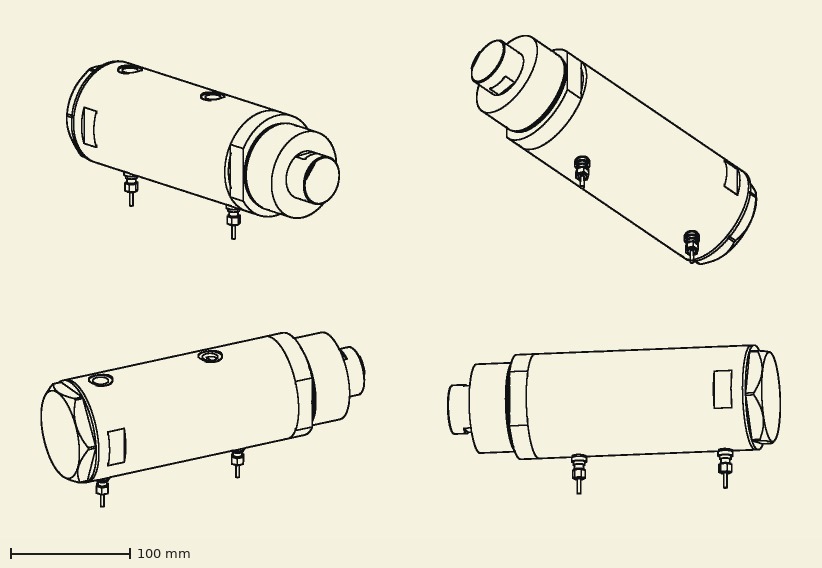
import cadquery as cq
import math


hex_end = 12.5
barrel_start = 15.0
spigot_end = 41.0
plug_start = 139.5
barrel_end = 201.0
flange_end = 216.8
sleeve_start = 219.3
sleeve_end = 251.5
rod_neck_end = 262.0
rod_end = 273.6
overall_length = 274.5
overall_height = 120.2

body_radius = 88.0 / 2
sleeve_radius = 75.0 / 2
bore_radius = 33.0
plug_radius = 39.8
rod_radius = 20.5

hex_flat_distance = 38.0
hex_corner_radius = 86.5 / 2
hex_face_radius = 37.5
hex_chamfer = hex_corner_radius - hex_face_radius
hex_tilt = 7.0

pocket_start = 25.0
pocket_end = 40.0
pocket_floor = 41.0
pocket_height = 31.8
port_positions = [37.5, plug_start]
port_radius = 6.5
spotface_radius = 10.2
spotface_floor = 42.5

neck_radius = 36.5
groove_floor_radius = 34.9
groove_start = 217.7
groove_end = 218.5
sleeve_chamfer = 0.8

rod_flat_distance = 18.0
rod_chamfer = 0.8
pad_chord_distance = 18.0
pad_angle = 140.0

sensor_positions = [39.2, 165.0]
sensor_seat = -42.5
sensor_head_bottom = -45.3
collar_bottom = -48.9
step_bottom = -51.5
waist_bottom = -55.5
nut_top = -56.3
nut_bottom = -62.9
gland_bottom = -63.7
cable_bottom = body_radius - overall_height
sensor_head_radius = 11.3 / 2
collar_radius = 6.3
step_radius = 9.5 / 2
waist_radius = 3.8
nut_face_radius = 4.5
gland_radius = 3.5
cable_radius = 1.5
nut_across_flats = 9.5


def disc(start, end, radius):
    """Cylinder about the X axis from start to end."""
    return cq.Workplane("YZ", origin=(start, 0, 0)).circle(radius).extrude(end - start)


def upright(bottom, top, radius, x):
    """Cylinder parallel to Z, centred at the given x."""
    return cq.Workplane("XY", origin=(x, 0, bottom)).circle(radius).extrude(top - bottom)


def side_cuts(start, end, floor, height):
    """Blocks that cut a flat on the -Y and +Y sides, outwards from the floor distance."""
    depth = body_radius
    block = cq.Workplane("XY").box(end - start, depth, height)
    middle = (start + end) / 2
    near = block.translate((middle, -floor - depth / 2, 0))
    far = block.translate((middle, floor + depth / 2, 0))
    return near.union(far)


def make_cap():
    corner_diameter = 2 * hex_flat_distance / math.cos(math.pi / 6)
    hexagon = (
        cq.Workplane("YZ").polygon(6, corner_diameter).extrude(hex_end)
        .rotate((0, 0, 0), (1, 0, 0), -hex_tilt)
    )
    envelope = disc(0, hex_end, hex_corner_radius).faces("<X").chamfer(hex_chamfer)
    flange = disc(hex_end, barrel_start, body_radius)
    spigot = disc(barrel_start, spigot_end, bore_radius)
    return hexagon.intersect(envelope).union(flange).union(spigot)


def make_barrel():
    barrel = disc(barrel_start, barrel_end, body_radius)
    barrel = barrel.cut(disc(barrel_start, plug_start, bore_radius))
    barrel = barrel.cut(disc(plug_start, barrel_end, plug_radius))
    barrel = barrel.cut(side_cuts(pocket_start, pocket_end, pocket_floor, pocket_height))
    for x in port_positions:
        barrel = barrel.cut(upright(0, body_radius, port_radius, x))
        barrel = barrel.cut(upright(spotface_floor, body_radius, spotface_radius, x))
    for x in sensor_positions:
        barrel = barrel.cut(upright(-body_radius, sensor_seat, sensor_head_radius, x))
    return barrel


def make_head():
    plug = disc(plug_start, barrel_end, plug_radius)
    flange = disc(barrel_end, flange_end, body_radius)
    flange = flange.cut(side_cuts(barrel_end, flange_end, sleeve_radius, 2 * body_radius))
    neck = disc(flange_end, groove_start, neck_radius)
    neck = neck.union(disc(groove_start, groove_end, groove_floor_radius))
    neck = neck.union(disc(groove_end, sleeve_start, neck_radius))
    sleeve = disc(sleeve_start, sleeve_end, sleeve_radius).faces("<X").chamfer(sleeve_chamfer)
    head = plug.union(flange).union(neck).union(sleeve)
    return head.cut(disc(plug_start, sleeve_end, rod_radius))


def make_rod():
    rod = disc(spigot_end, rod_end, rod_radius).faces(">X").chamfer(rod_chamfer)
    neck_length = rod_neck_end - sleeve_end
    for side in (-1, 1):
        centre_z = side * (rod_flat_distance + rod_radius / 2)
        block = cq.Workplane("XY").box(neck_length, 2 * rod_radius, rod_radius)
        rod = rod.cut(block.translate((sleeve_end + neck_length / 2, 0, centre_z)))
    end_radius = rod_radius - rod_chamfer
    pad_side = (
        cq.Workplane("YZ", origin=(rod_end, 0, 0))
        .center(pad_chord_distance + rod_radius / 2, 0)
        .rect(rod_radius, 2 * rod_radius)
        .extrude(overall_length - rod_end)
        .rotate((0, 0, 0), (1, 0, 0), pad_angle)
    )
    pad = disc(rod_end, overall_length, end_radius).intersect(pad_side)
    return rod.union(pad)


def make_sensor(x):
    nut = (
        cq.Workplane("XY", origin=(x, 0, nut_bottom))
        .polygon(6, nut_across_flats / math.cos(math.pi / 6))
        .extrude(nut_top - nut_bottom)
    )
    sensor = upright(sensor_head_bottom, sensor_seat, sensor_head_radius, x)
    sensor = sensor.union(upright(collar_bottom, sensor_head_bottom, collar_radius, x))
    sensor = sensor.union(upright(step_bottom, collar_bottom, step_radius, x))
    sensor = sensor.union(upright(waist_bottom, step_bottom, waist_radius, x))
    sensor = sensor.union(upright(nut_top, waist_bottom, nut_face_radius, x))
    sensor = sensor.union(nut)
    sensor = sensor.union(upright(gland_bottom, nut_bottom, gland_radius, x))
    return sensor.union(upright(cable_bottom, gland_bottom, cable_radius, x))


cap = make_cap()
barrel = make_barrel()
head = make_head()
rod = make_rod()
sensors = [make_sensor(x) for x in sensor_positions]

result = cq.Compound.makeCompound(
    [cap.val(), barrel.val(), head.val(), rod.val(), *[sensor.val() for sensor in sensors]]
)